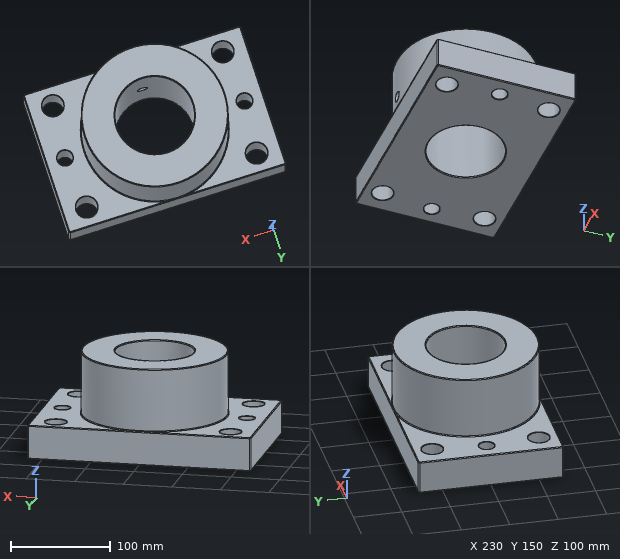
import cadquery as cq

plate_length = 230.0
plate_width = 150.0
plate_height = 35.0
corner_chamfer = 1.4
edge_chamfer = 1.0

total_height = 100.0
hub_radius = 74.0
hub_chamfer = 1.0
flare_size = 1.0
bore_radius = 40.0
bore_chamfer = 1.0

bolt_diameter = 22.0
bolt_x = 90.0
bolt_y = 55.0
dowel_diameter = 16.0
dowel_x = 95.0
hole_chamfer = 0.5

radial_diameter = 10.5
radial_z = total_height / 2


def make_plate():
    plate = cq.Workplane("XY").box(plate_length, plate_width, plate_height, centered=(True, True, False))
    plate = plate.edges("|Z").chamfer(corner_chamfer)
    return plate.faces("<Z or >Z").edges().chamfer(edge_chamfer)


def make_hub():
    hub = cq.Workplane("XY").circle(hub_radius).extrude(total_height)
    return hub.faces(">Z").edges().chamfer(hub_chamfer)


def make_flare():
    """Conical foot of the hub, trimmed to the flat top of the plate."""
    foot_radius = hub_radius + flare_size
    cone = cq.Solid.makeCone(foot_radius, hub_radius, flare_size, pnt=cq.Vector(0, 0, plate_height))
    flat_top = (
        cq.Workplane("XY", origin=(0, 0, plate_height))
        .rect(plate_length, plate_width - 2 * edge_chamfer)
        .extrude(flare_size)
    )
    return flat_top.intersect(cq.Workplane(cone))


def chamfered_hole(x, y, radius, height, chamfer):
    """Cutter for a vertical through hole chamfered at both ends."""
    wide = radius + chamfer
    profile = [(0, 0), (wide, 0), (radius, chamfer), (radius, height - chamfer), (wide, height), (0, height)]
    cutter = cq.Workplane("XZ").polyline(profile).close().revolve(360, (0, 0), (0, 1))
    return cutter.translate((x, y, 0))


def make_radial_hole():
    """Cutter running from the bore axis out through the front wall."""
    return cq.Workplane("XZ", origin=(0, 0, radial_z)).circle(radial_diameter / 2).extrude(plate_width)


result = make_plate().union(make_hub()).union(make_flare())
result = result.cut(chamfered_hole(0, 0, bore_radius, total_height, bore_chamfer))
for x_side in (-1, 1):
    result = result.cut(chamfered_hole(x_side * dowel_x, 0, dowel_diameter / 2, plate_height, hole_chamfer))
    for y_side in (-1, 1):
        bolt_hole = chamfered_hole(
            x_side * bolt_x, y_side * bolt_y, bolt_diameter / 2, plate_height, hole_chamfer
        )
        result = result.cut(bolt_hole)
result = result.cut(make_radial_hole())